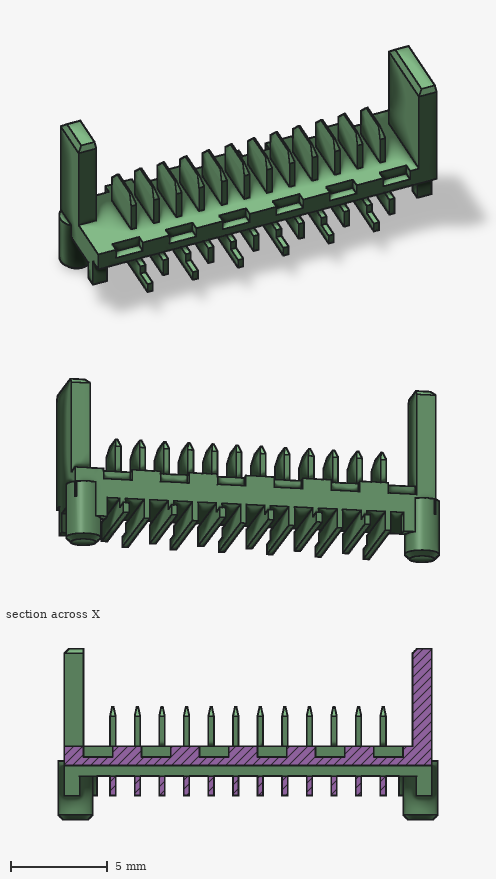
import cadquery as cq


body_width = 5.0
body_length = 19.0
body_bottom = 1.0
body_top = 2.55
half_width = body_width / 2
half_length = body_length / 2

undercut_width = 0.7
undercut_top = 1.55
undercut_x = half_width - undercut_width

wall_thickness = 1.0
wall_top = 7.6
wall_chamfer = 0.25
front_wall_width = 2.4
back_wall_width = 4.0

pocket_count = 6
pocket_length = 1.5
pocket_pitch = 3.0
pocket_width = 0.5
pocket_depth = 0.55
first_pocket_y = -half_length + wall_thickness + pocket_length / 2

peg_diameter = 1.8
peg_top = 1.8
peg_bottom = -1.25
peg_chamfer = 0.25
peg_overhang_x = 0.15
peg_overhang_y = 0.315
peg_x = -half_width - peg_overhang_x + peg_diameter / 2
peg_y = half_length + peg_overhang_y - peg_diameter / 2

foot_width = 0.65
foot_depth = 0.8
inner_foot_edge = 1.7

contact_count = 12
contact_pitch = 1.27
contact_thickness = 0.3
blade_width = 2.55
blade_shoulder = 4.1
blade_top = 4.6
tip_width = 1.65
tip_thickness = 0.08
tail_reach = 3.45
tail_height = 0.525


def block(x_range, y_range, z_range):
    """Axis-aligned box given by its limits along X, Y and Z."""
    sizes = [high - low for low, high in (x_range, y_range, z_range)]
    corner = (x_range[0], y_range[0], z_range[0])
    return cq.Workplane("XY").box(*sizes, centered=False).translate(corner)


def make_body():
    body = block((-half_width, half_width), (-half_length, half_length), (body_bottom, body_top))
    undercut = block((undercut_x, half_width), (-half_length, half_length), (body_bottom, undercut_top))
    body = body.cut(undercut)
    pocket_z = (body_top - pocket_depth, body_top)
    for i in range(pocket_count):
        center_y = first_pocket_y + i * pocket_pitch
        pocket_y = (center_y - pocket_length / 2, center_y + pocket_length / 2)
        body = body.cut(block((-half_width, -half_width + pocket_width), pocket_y, pocket_z))
        body = body.cut(block((half_width - pocket_width, half_width), pocket_y, pocket_z))
    return body


def make_wall(x_range, y_range):
    """Guide wall whose top is chamfered on every side except +Y."""
    wall = block(x_range, y_range, (undercut_top, wall_top))
    return wall.faces(">Z").edges("<Y or <X or >X").chamfer(wall_chamfer)


def make_walls():
    front = make_wall(
        (-half_width, -half_width + front_wall_width),
        (-half_length, -half_length + wall_thickness),
    )
    back = make_wall(
        (half_width - back_wall_width, half_width),
        (half_length - wall_thickness, half_length),
    )
    return front.union(back)


def make_peg(center_y):
    peg = cq.Workplane("XY", origin=(peg_x, center_y, peg_bottom))
    peg = peg.circle(peg_diameter / 2).extrude(peg_top - peg_bottom)
    return peg.faces("<Z").chamfer(peg_chamfer)


def make_front_feet():
    """Feet at the -Y end: one flush with the end face, one on the inner side of the peg."""
    outer_foot = block(
        (undercut_x - foot_width, undercut_x),
        (-half_length, -half_length + foot_depth),
        (0, body_bottom),
    )
    peg_foot = block(
        (-half_width, -half_width + foot_width),
        (-peg_y, -half_length + inner_foot_edge),
        (0, body_bottom),
    )
    return outer_foot.union(peg_foot)


def make_contact(tail_side):
    """Blade through the housing, a foot bar below it and a solder tail on the tail_side (+1 or -1) of X."""
    thickness_range = (-contact_thickness / 2, contact_thickness / 2)
    blade = block((-blade_width / 2, blade_width / 2), thickness_range, (body_bottom, blade_shoulder))
    tip = (
        cq.Workplane("XY", origin=(0, 0, blade_shoulder))
        .rect(blade_width, contact_thickness)
        .workplane(offset=blade_top - blade_shoulder)
        .rect(tip_width, tip_thickness)
        .loft(ruled=True)
    )
    bar = block((-half_width, half_width), thickness_range, (0, body_bottom))
    tail_x = sorted((0, tail_side * tail_reach))
    tail = block(tail_x, thickness_range, (0, tail_height))
    return blade.union(tip).union(bar).union(tail)


def add_contacts(part):
    """Row of contacts along Y; the tails alternate between +X and -X, starting with +X at the -Y end."""
    first_y = -(contact_count - 1) / 2 * contact_pitch
    for i in range(contact_count):
        tail_side = 1 if i % 2 == 0 else -1
        part = part.union(make_contact(tail_side).translate((0, first_y + i * contact_pitch, 0)))
    return part


front_feet = make_front_feet()
result = make_body().union(make_walls())
result = result.union(front_feet).union(front_feet.mirror("XZ"))
result = result.union(make_peg(-peg_y)).union(make_peg(peg_y))
result = add_contacts(result)